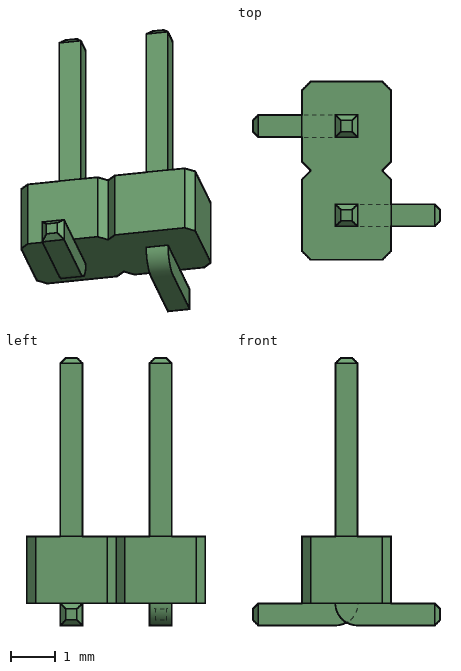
import cadquery as cq

pitch = 2.0
pin_count = 2
body_width = 2.0
body_height = 1.5
corner_chamfer = 0.2
pin_width = 0.5
tip_chamfer = pin_width / 4
leg_reach = 2.1
total_height = 6.0

half_pin = pin_width / 2
bend_radius = pin_width
first_pin_y = -pitch * (pin_count - 1) / 2


def make_housing_cell(y):
    """One chamfered block of the housing, resting on the legs."""
    return (
        cq.Workplane("XY")
        .box(body_width, pitch, body_height, centered=(True, True, False))
        .edges("|Z")
        .chamfer(corner_chamfer)
        .translate((0, y, pin_width))
    )


def make_pin(y, side):
    """L-shaped square pin whose leg points to +X (side = 1) or -X (side = -1)."""
    bend_offset = bend_radius * 0.5 ** 0.5
    pin = (
        cq.Workplane("XZ")
        .moveTo(-half_pin, total_height)
        .lineTo(half_pin, total_height)
        .lineTo(half_pin, pin_width)
        .lineTo(leg_reach, pin_width)
        .lineTo(leg_reach, 0)
        .lineTo(half_pin, 0)
        .threePointArc(
            (half_pin - bend_offset, pin_width - bend_offset),
            (-half_pin, pin_width),
        )
        .close()
        .extrude(half_pin, both=True)
    )
    pin = pin.faces(">Z").edges().chamfer(tip_chamfer)
    pin = pin.faces(">X").edges().chamfer(tip_chamfer)
    if side < 0:
        pin = pin.rotate((0, 0, 0), (0, 0, 1), 180)
    return pin.translate((0, y, 0))


pin_rows = [first_pin_y + pitch * i for i in range(pin_count)]

result = make_housing_cell(pin_rows[0])
for y in pin_rows[1:]:
    result = result.union(make_housing_cell(y))

for i, y in enumerate(pin_rows):
    leg_side = 1 if i % 2 == 0 else -1
    result = result.union(make_pin(y, leg_side))

result = result.clean()